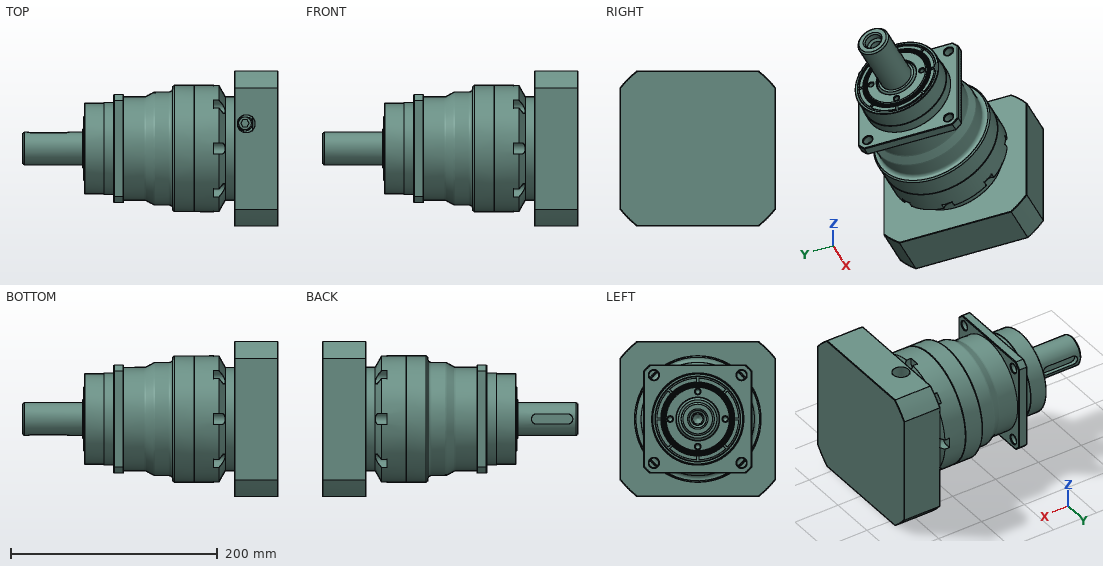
import cadquery as cq
import math


SHAFT_BASE = 58.0
DISC_FACE = 59.0
HOUSING_FACE = 60.0
PILOT_STEP = 78.5
FLANGE_FRONT = 88.0
FLANGE_BACK = 97.7
WAIST_CONE_START = 118.7
WAIST_CONE_END = 127.5
RING_FILLET_START = 141.5
RING_FACE = 145.0
HOUSING_JOINT = 165.8
BELL_CONE_START = 189.8
BELL_CONE_END = 196.0
PLATE_FRONT = 204.8
PLATE_BACK = 246.8

SHAFT_RADIUS = 16.0
SHAFT_END_CHAMFER = 1.7
KEYWAY_START = 5.0
KEYWAY_LENGTH = 40.0
KEYWAY_WIDTH = 9.9
KEYWAY_DEPTH = 5.0
COLLAR_FACE_RADIUS = 18.5
COLLAR_CONE_LENGTH = 3.5
COLLAR_RADIUS = 20.7

DISC_BORE_CHAMFER = 0.5
DISC_RADIUS = 31.5
DISC_CHAMFER = 1.0

CENTRE_MOUTH_RADIUS = 9.9
CENTRE_RECESS_RADIUS = 8.5
CENTRE_RECESS_DEPTH = 7.5
CENTRE_THREAD_RADIUS = 6.2
CENTRE_THREAD_DEPTH = 29.5
CENTRE_TIP_RADIUS = 5.0

DISC_HOLE_COUNT = 4
DISC_HOLE_CIRCLE_RADIUS = 26.7
DISC_HOLE_RADIUS = 2.5
DISC_HOLE_DEPTH = 9.9
DISC_HOLE_CHAMFER = 0.7

SEAL_OUTER_RADIUS = 35.5
SEAL_RECESS = 0.5
SEAL_LIP_INNER_RADII = (32.3, 34.0)
SEAL_LIP_WIDTH = 0.7
LOCK_RING_RADIUS = 41.0
LOCK_PAD_RADIUS = 39.5
LOCK_PAD_HEIGHT = 0.5
LOCK_RING_BORE_CHAMFER = 0.2
LOCK_SLOT_COUNT = 8
LOCK_SLOT_WIDTH = 2.2

PILOT_RADIUS = 44.0
PILOT_CHAMFER = 0.5
SEAT_CHAMFER = 0.5
SHOULDER_RADIUS = 44.7
FLANGE_SIZE = 104.6
FLANGE_CORNER_RADIUS = 69.8
FLANGE_EDGE_CHAMFER = 0.7
FLANGE_HOLE_COUNT = 4
FLANGE_HOLE_FIRST_ANGLE = 45
FLANGE_HOLE_CIRCLE_RADIUS = 60.0
FLANGE_HOLE_RADIUS = 4.7
FLANGE_HOLE_CHAMFER = 0.7
WAIST_RADIUS = 50.0
BARREL_RADIUS = 54.8
WAIST_CONE_BLEND = 3.0
BELL_RADIUS = 61.2
BELL_EDGE_CHAMFER = 1.5
JOINT_CHAMFER = 0.37

NECK_RADIUS = 50.0
BOLT_SLOT_COUNT = 8
BOLT_SLOT_START = 184.5
BOLT_SLOT_RADIUS = 5.5
BOLT_SLOT_CIRCLE_RADIUS = 55.8

PLATE_SIZE = 150.0
PLATE_CORNER_RADIUS = 95.3
PLATE_EDGE_CHAMFER = 0.5
ACCESS_HOLE_X = 216.2
ACCESS_HOLE_Y = 24.0
ACCESS_HOLE_RADIUS = 8.6
HUB_RADIUS = 42.0
HUB_END = 222.0
HUB_CAVITY_END = 227.0
SCREW_X = 215.0
SCREW_Y = 24.5
SCREW_SEAT_Z = 19.7
SCREW_HEAD_RADIUS = 6.2
SCREW_HEAD_HEIGHT = 8.0
HEXAGON_SIDES = 6
SCREW_SOCKET_WIDTH = 7.0
SCREW_SOCKET_DEPTH = 5.0
SCREW_MOUTH_RADIUS = 7.5
SCREW_MOUTH_Z = 30.0


def turned(points):
    """Revolve a closed outline of (x, radius) points about the X axis."""
    outline = cq.Workplane("XY").polyline(points).close()
    return outline.revolve(360, (0, 0, 0), (1, 0, 0))


def cylinder(start, end, radius):
    """Cylinder on the X axis between two stations."""
    return cq.Workplane("YZ", origin=(start, 0, 0)).circle(radius).extrude(end - start)


def square_plate(start, end, size, corner_radius, edge_chamfer):
    """Square plate whose corners are turned to a circle, with both faces' edges chamfered."""
    square = cq.Workplane("YZ", origin=(start, 0, 0)).rect(size, size).extrude(end - start)
    plate = square.intersect(cylinder(start, end, corner_radius))
    return plate.faces("<X or >X").edges().chamfer(edge_chamfer)


def around_axis(shape, count, first_angle=0):
    """Copies of a shape equally spaced about the X axis."""
    return [
        shape.rotate((0, 0, 0), (1, 0, 0), first_angle + index * 360 / count)
        for index in range(count)
    ]


def cut_all(body, cutters):
    for cutter in cutters:
        body = body.cut(cutter)
    return body


def drilled_hole(face, depth, radius, mouth_chamfer):
    """Cutter on the X axis: chamfered mouth, straight wall and conical drill point."""
    return turned([
        (face, 0),
        (face, radius + mouth_chamfer),
        (face + mouth_chamfer, radius),
        (face + depth, radius),
        (face + depth + radius, 0),
    ])


def shaft_centre_hole():
    """Stepped centring hole with a conical mouth and a drill point at its bottom."""
    recess_start = CENTRE_MOUTH_RADIUS - CENTRE_RECESS_RADIUS
    recess_cone_end = CENTRE_RECESS_DEPTH + CENTRE_RECESS_RADIUS - CENTRE_THREAD_RADIUS
    return turned([
        (0, 0),
        (0, CENTRE_MOUTH_RADIUS),
        (recess_start, CENTRE_RECESS_RADIUS),
        (CENTRE_RECESS_DEPTH, CENTRE_RECESS_RADIUS),
        (recess_cone_end, CENTRE_THREAD_RADIUS),
        (CENTRE_THREAD_DEPTH, CENTRE_THREAD_RADIUS),
        (CENTRE_THREAD_DEPTH, CENTRE_TIP_RADIUS),
        (CENTRE_THREAD_DEPTH + CENTRE_TIP_RADIUS, 0),
    ])


def shaft_keyway():
    """Round-ended keyway on the +Y side of the shaft."""
    middle = KEYWAY_START + KEYWAY_LENGTH / 2
    floor = cq.Workplane("XZ", origin=(middle, SHAFT_RADIUS - KEYWAY_DEPTH, 0))
    return floor.slot2D(KEYWAY_LENGTH, KEYWAY_WIDTH).extrude(-SHAFT_RADIUS)


def make_shaft():
    shaft = turned([
        (0, 0),
        (0, SHAFT_RADIUS - SHAFT_END_CHAMFER),
        (SHAFT_END_CHAMFER, SHAFT_RADIUS),
        (SHAFT_BASE, SHAFT_RADIUS),
        (SHAFT_BASE, COLLAR_FACE_RADIUS),
        (SHAFT_BASE + COLLAR_CONE_LENGTH, COLLAR_RADIUS),
        (PILOT_STEP, COLLAR_RADIUS),
        (PILOT_STEP, 0),
    ])
    return shaft.cut(shaft_centre_hole()).cut(shaft_keyway())


def make_output_disc():
    """Disc around the shaft collar, with chamfered rims and tapped holes."""
    disc = turned([
        (DISC_FACE + DISC_BORE_CHAMFER, COLLAR_RADIUS),
        (DISC_FACE, COLLAR_RADIUS + DISC_BORE_CHAMFER),
        (DISC_FACE, DISC_RADIUS - DISC_CHAMFER),
        (DISC_FACE + DISC_CHAMFER, DISC_RADIUS),
        (PILOT_STEP, DISC_RADIUS),
        (PILOT_STEP, COLLAR_RADIUS),
    ])
    hole = drilled_hole(DISC_FACE, DISC_HOLE_DEPTH, DISC_HOLE_RADIUS, DISC_HOLE_CHAMFER)
    hole = hole.translate((0, DISC_HOLE_CIRCLE_RADIUS, 0))
    return cut_all(disc, around_axis(hole, DISC_HOLE_COUNT))


def tube(start, end, inner_radius, outer_radius):
    """Plain ring about the X axis."""
    return cylinder(start, end, outer_radius).cut(cylinder(start, end, inner_radius))


def make_seal():
    """Seal between disc and lock ring, set back from the housing face with raised lips."""
    face = HOUSING_FACE + SEAL_RECESS
    seal = tube(face, PILOT_STEP, DISC_RADIUS, SEAL_OUTER_RADIUS)
    for lip_radius in SEAL_LIP_INNER_RADII:
        seal = seal.union(tube(HOUSING_FACE, PILOT_STEP, lip_radius, lip_radius + SEAL_LIP_WIDTH))
    return seal


def make_lock_ring():
    """Ring with a stepped outer edge and radial spanner slots as deep as the step."""
    ring = turned([
        (HOUSING_FACE + LOCK_RING_BORE_CHAMFER, SEAL_OUTER_RADIUS),
        (HOUSING_FACE, SEAL_OUTER_RADIUS + LOCK_RING_BORE_CHAMFER),
        (HOUSING_FACE, LOCK_PAD_RADIUS),
        (HOUSING_FACE + LOCK_PAD_HEIGHT, LOCK_PAD_RADIUS),
        (HOUSING_FACE + LOCK_PAD_HEIGHT, LOCK_RING_RADIUS),
        (PILOT_STEP, LOCK_RING_RADIUS),
        (PILOT_STEP, SEAL_OUTER_RADIUS),
    ])
    slot = cq.Workplane("XY").box(
        LOCK_PAD_HEIGHT, LOCK_RING_RADIUS, LOCK_SLOT_WIDTH, centered=(False, False, True)
    ).translate((HOUSING_FACE, 0, 0))
    return cut_all(ring, around_axis(slot, LOCK_SLOT_COUNT))


def make_front_housing():
    fillet_radius = RING_FACE - RING_FILLET_START
    fillet_middle = fillet_radius * math.sqrt(0.5)
    turned_body = (
        cq.Workplane("XY")
        .moveTo(HOUSING_FACE, 0)
        .lineTo(HOUSING_FACE, PILOT_RADIUS - PILOT_CHAMFER)
        .lineTo(HOUSING_FACE + PILOT_CHAMFER, PILOT_RADIUS)
        .lineTo(PILOT_STEP, PILOT_RADIUS)
        .lineTo(PILOT_STEP, SHOULDER_RADIUS)
        .lineTo(FLANGE_BACK, SHOULDER_RADIUS)
        .lineTo(FLANGE_BACK, WAIST_RADIUS)
        .lineTo(WAIST_CONE_START, WAIST_RADIUS)
        .lineTo(WAIST_CONE_END, BARREL_RADIUS)
        .lineTo(RING_FILLET_START, BARREL_RADIUS)
        .threePointArc(
            (RING_FILLET_START + fillet_middle, BARREL_RADIUS + fillet_radius - fillet_middle),
            (RING_FACE, BARREL_RADIUS + fillet_radius),
        )
        .lineTo(RING_FACE, BELL_RADIUS - BELL_EDGE_CHAMFER)
        .lineTo(RING_FACE + BELL_EDGE_CHAMFER, BELL_RADIUS)
        .lineTo(HOUSING_JOINT - JOINT_CHAMFER, BELL_RADIUS)
        .lineTo(HOUSING_JOINT, BELL_RADIUS - JOINT_CHAMFER)
        .lineTo(HOUSING_JOINT, 0)
        .close()
        .revolve(360, (0, 0, 0), (1, 0, 0))
    )
    margin = WAIST_CONE_BLEND / 2
    cone_ends = turned_body.edges("%CIRCLE").filter(
        lambda edge: WAIST_CONE_START - margin < edge.Center().x < WAIST_CONE_END + margin
    )
    turned_body = cone_ends.fillet(WAIST_CONE_BLEND)
    flange = square_plate(
        FLANGE_FRONT, FLANGE_BACK, FLANGE_SIZE, FLANGE_CORNER_RADIUS, FLANGE_EDGE_CHAMFER
    )
    bearing_seat = turned([
        (HOUSING_FACE, 0),
        (HOUSING_FACE, LOCK_RING_RADIUS + SEAT_CHAMFER),
        (HOUSING_FACE + SEAT_CHAMFER, LOCK_RING_RADIUS),
        (PILOT_STEP, LOCK_RING_RADIUS),
        (PILOT_STEP, 0),
    ])
    mouth_radius = FLANGE_HOLE_RADIUS + FLANGE_HOLE_CHAMFER
    flange_hole = turned([
        (FLANGE_FRONT, 0),
        (FLANGE_FRONT, mouth_radius),
        (FLANGE_FRONT + FLANGE_HOLE_CHAMFER, FLANGE_HOLE_RADIUS),
        (FLANGE_BACK - FLANGE_HOLE_CHAMFER, FLANGE_HOLE_RADIUS),
        (FLANGE_BACK, mouth_radius),
        (FLANGE_BACK, 0),
    ]).translate((0, FLANGE_HOLE_CIRCLE_RADIUS, 0))
    housing = turned_body.union(flange).cut(bearing_seat)
    return cut_all(housing, around_axis(flange_hole, FLANGE_HOLE_COUNT, FLANGE_HOLE_FIRST_ANGLE))


def make_rear_housing():
    """Bell with a conical back, a neck, and U-shaped bolt slots open to the outside."""
    bell = turned([
        (HOUSING_JOINT, 0),
        (HOUSING_JOINT, BELL_RADIUS - JOINT_CHAMFER),
        (HOUSING_JOINT + JOINT_CHAMFER, BELL_RADIUS),
        (BELL_CONE_START, BELL_RADIUS),
        (BELL_CONE_END, NECK_RADIUS),
        (PLATE_FRONT, NECK_RADIUS),
        (PLATE_FRONT, 0),
    ])
    slot_length = BELL_CONE_END - BOLT_SLOT_START
    slot_bottom = cylinder(BOLT_SLOT_START, BELL_CONE_END, BOLT_SLOT_RADIUS)
    slot_walls = cq.Workplane("XY").box(
        slot_length, BELL_RADIUS, 2 * BOLT_SLOT_RADIUS, centered=(False, False, True)
    ).translate((BOLT_SLOT_START, 0, 0))
    slot = slot_bottom.union(slot_walls).translate((0, BOLT_SLOT_CIRCLE_RADIUS, 0))
    return cut_all(bell, around_axis(slot, BOLT_SLOT_COUNT))


def make_adapter_plate():
    """Square plate with a cavity for the clamp hub and a screw access hole from the top."""
    plate = square_plate(
        PLATE_FRONT, PLATE_BACK, PLATE_SIZE, PLATE_CORNER_RADIUS, PLATE_EDGE_CHAMFER
    )
    access_hole = (
        cq.Workplane("XY", origin=(ACCESS_HOLE_X, ACCESS_HOLE_Y, 0))
        .circle(ACCESS_HOLE_RADIUS)
        .extrude(PLATE_SIZE / 2)
    )
    return plate.cut(cylinder(PLATE_FRONT, HUB_CAVITY_END, HUB_RADIUS)).cut(access_hole)


def make_clamp_hub():
    """Hub filling the front of the cavity, with a countersunk pocket for the clamp screw."""
    screw_pocket = (
        cq.Workplane("XY", origin=(SCREW_X, SCREW_Y, SCREW_SEAT_Z))
        .circle(SCREW_HEAD_RADIUS)
        .extrude(HUB_RADIUS)
    )
    mouth_depth = SCREW_MOUTH_RADIUS - SCREW_HEAD_RADIUS
    mouth_cone = (
        cq.Workplane("XY", origin=(SCREW_X, SCREW_Y, SCREW_MOUTH_Z - mouth_depth))
        .circle(SCREW_HEAD_RADIUS)
        .workplane(offset=mouth_depth)
        .circle(SCREW_MOUTH_RADIUS)
        .loft()
    )
    mouth = (
        cq.Workplane("XY", origin=(SCREW_X, SCREW_Y, SCREW_MOUTH_Z))
        .circle(SCREW_MOUTH_RADIUS)
        .extrude(HUB_RADIUS)
    )
    hub = cylinder(PLATE_FRONT, HUB_END, HUB_RADIUS)
    return cut_all(hub, [screw_pocket, mouth_cone, mouth])


def make_clamp_screw():
    """Cap screw head with a hexagon socket, seated in the hub."""
    across_corners = SCREW_SOCKET_WIDTH / math.cos(math.pi / HEXAGON_SIDES)
    head = (
        cq.Workplane("XY", origin=(SCREW_X, SCREW_Y, SCREW_SEAT_Z))
        .circle(SCREW_HEAD_RADIUS)
        .extrude(SCREW_HEAD_HEIGHT)
    )
    socket = head.faces(">Z").workplane().polygon(HEXAGON_SIDES, across_corners)
    return socket.cutBlind(-SCREW_SOCKET_DEPTH)


shaft = make_shaft()
output_disc = make_output_disc()
seal = make_seal()
lock_ring = make_lock_ring()
front_housing = make_front_housing()
rear_housing = make_rear_housing()
adapter_plate = make_adapter_plate()
clamp_hub = make_clamp_hub()
clamp_screw = make_clamp_screw()

result = cq.Compound.makeCompound([
    shaft.val(),
    output_disc.val(),
    seal.val(),
    lock_ring.val(),
    front_housing.val(),
    rear_housing.val(),
    adapter_plate.val(),
    clamp_hub.val(),
    clamp_screw.val(),
])